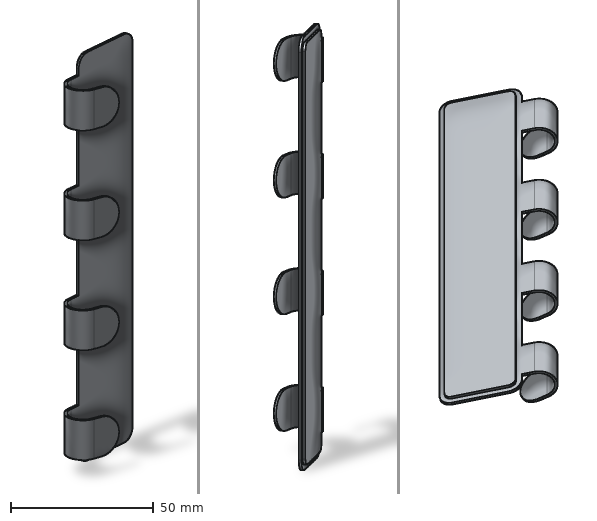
import cadquery as cq
import math

plate_height = 156.0
plate_width = 30.0
plate_corner_radius = 4.7
sheet_thickness = 1.0

pad_thickness = 1.0
pad_inset = 2.0

hook_count = 4
hook_pitch = 42.0
hook_width = 15.1
hook_drop = 4.5
bend_outer_radius = 6.5
arm_tilt = math.radians(15)
arm_length = 10.9

bend_inner_radius = bend_outer_radius - sheet_thickness
tip_radius = hook_width / 2
bend_center_x = bend_outer_radius
bend_center_y = -plate_width / 2 - hook_drop


def rounded_slab(start_x, thickness, width, height, corner_radius):
    """Flat slab with rounded corners, thickened toward +X from start_x."""
    slab = cq.Workplane("YZ", origin=(start_x, 0, 0)).rect(width, height).extrude(thickness)
    return slab.edges("|X").fillet(corner_radius)


def bend_point(radius, angle):
    """Point at the given angle and radius around the bend centre."""
    return (
        bend_center_x + radius * math.cos(angle),
        bend_center_y + radius * math.sin(angle),
    )


def along_arm(point):
    """Move a point from the end of the bend to the tip of the arm."""
    return (
        point[0] + arm_length * math.sin(arm_tilt),
        point[1] + arm_length * math.cos(arm_tilt),
    )


def make_hook(center_z):
    """J-shaped strip with a fully rounded tip, centred at center_z."""
    bend_end = -arm_tilt
    bend_middle = (bend_end - math.pi) / 2
    outer_end = bend_point(bend_outer_radius, bend_end)
    inner_end = bend_point(bend_inner_radius, bend_end)
    plate_edge_y = -plate_width / 2

    hook = (
        cq.Workplane("XY", origin=(0, 0, center_z - hook_width / 2))
        .moveTo(0, plate_edge_y)
        .lineTo(0, bend_center_y)
        .threePointArc(bend_point(bend_outer_radius, bend_middle), outer_end)
        .lineTo(*along_arm(outer_end))
        .lineTo(*along_arm(inner_end))
        .lineTo(*inner_end)
        .threePointArc(bend_point(bend_inner_radius, bend_middle), (sheet_thickness, bend_center_y))
        .lineTo(sheet_thickness, plate_edge_y)
        .close()
        .extrude(hook_width)
    )
    return hook.intersect(make_tip_outline(center_z, along_arm(outer_end)))


def make_tip_outline(center_z, tip_corner):
    """Round-ended block lying along the arm, long enough to keep the whole hook below the tip."""
    arm_plane = cq.Plane(
        origin=(tip_corner[0], tip_corner[1], center_z),
        xDir=(math.sin(arm_tilt), math.cos(arm_tilt), 0),
        normal=(math.cos(arm_tilt), -math.sin(arm_tilt), 0),
    )
    reach = plate_width
    return (
        cq.Workplane(arm_plane)
        .moveTo(-reach, -tip_radius)
        .lineTo(-tip_radius, -tip_radius)
        .threePointArc((0, 0), (-tip_radius, tip_radius))
        .lineTo(-reach, tip_radius)
        .close()
        .extrude(reach, both=True)
    )


def make_hook_plate():
    """Back plate and its row of hooks, one bent sheet."""
    sheet = rounded_slab(0, sheet_thickness, plate_width, plate_height, plate_corner_radius)
    for index in range(hook_count):
        center_z = (index - (hook_count - 1) / 2) * hook_pitch
        sheet = sheet.union(make_hook(center_z))
    return sheet


def make_pad():
    """Thin backing pad against the -X face of the plate."""
    return rounded_slab(
        -pad_thickness,
        pad_thickness,
        plate_width - 2 * pad_inset,
        plate_height - 2 * pad_inset,
        plate_corner_radius - pad_inset,
    )


hook_plate = make_hook_plate()
pad = make_pad()

result = cq.Compound.makeCompound([hook_plate.val(), pad.val()])